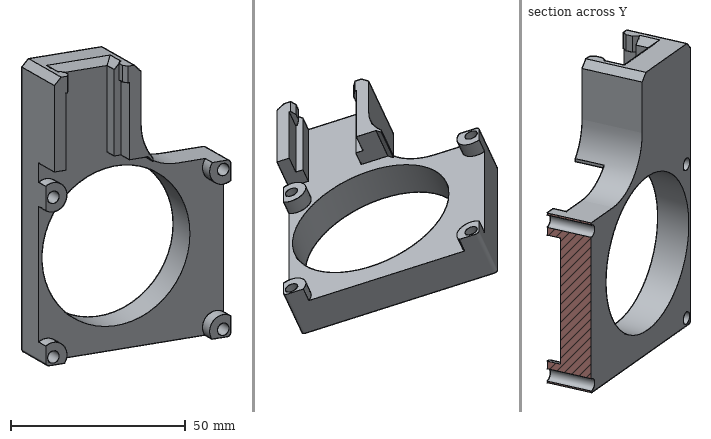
import cadquery as cq

thickness = 19.8
width = 60.0
height = 88.0

plate_thickness = 10.3
plate_height = 53.1
corner_radius = 1.1
boss_top = 14.6
boss_diameter = 8.8
screw_diameter = 3.7
screw_inset = 2.5
screw_spacing_z = 48.0
screw_centres = [
    (y, z)
    for y in (screw_inset, width - screw_inset)
    for z in (screw_inset, screw_inset + screw_spacing_z)
]

opening_diameter = 48.0
opening_y = 25.1
opening_z = 31.2

tower_width = 28.2
tower_chamfer = 2.2
tower_blend_radius = 16.8
tower_underside = 59.8
tip_drop = 1.7
tip_y = 32.0

wall = 3.8
ledge = 2.2
lead_in = 2.2

bead_length = 5.0
bead_foot_height = 0.4
bead_crest_height = 1.5
bead_flank_run = 1.6



def full_outline():
    """Full-thickness body: square plate blended into the tower by a concave arc."""
    profile = (
        cq.Workplane("YZ")
        .lineTo(width, 0)
        .lineTo(width, plate_height)
        .lineTo(tower_width + tower_blend_radius, plate_height)
        .radiusArc((tower_width, plate_height + tower_blend_radius), tower_blend_radius)
        .lineTo(tower_width, height - tower_chamfer)
        .lineTo(tower_width - tower_chamfer, height)
        .lineTo(tower_chamfer, height)
        .lineTo(0, height - tower_chamfer)
        .close()
    )
    body = profile.extrude(thickness)
    for corner in ((0, 0), (width, 0), (width, plate_height)):
        nearest = cq.selectors.NearestToPointSelector((thickness / 2, *corner))
        body = body.edges(nearest).fillet(corner_radius)
    return body


def tower_region():
    """Tower above the plate, with a sloped end on its hanging +Y wall."""
    profile = (
        cq.Workplane("YZ")
        .moveTo(0, tower_underside)
        .lineTo(tip_y - tip_drop, tower_underside)
        .lineTo(tip_y, tower_underside - tip_drop)
        .lineTo(tip_y, height)
        .lineTo(0, height)
        .close()
    )
    return profile.extrude(thickness)


def boss_cylinders():
    """Round screw bosses, to be trimmed by the plate outline."""
    return cq.Workplane("YZ").pushPoints(screw_centres).circle(boss_diameter / 2).extrude(boss_top)


def slot_section(z, growth):
    """Slot rectangle at height z, widened by growth on three sides."""
    near = wall + ledge - growth
    far = tower_width - near
    floor = plate_thickness - growth
    return (
        cq.Workplane("XY", origin=(0, 0, z))
        .moveTo(floor, near)
        .lineTo(thickness, near)
        .lineTo(thickness, far)
        .lineTo(floor, far)
        .close()
    )


def slot():
    """Stepped slot with a funnel at its mouth."""
    narrow = slot_section(0, 0).extrude(height)
    lower_wire = slot_section(height - lead_in, 0).val()
    upper_wire = slot_section(height, lead_in).val()
    mouth = cq.Workplane(cq.Solid.makeLoft([lower_wire, upper_wire], True))
    wide = cq.Workplane("XY").box(
        thickness - boss_top, tower_width - 2 * wall, height, centered=False
    ).translate((boss_top, wall, 0))
    return narrow.union(mouth).union(wide)


def snap_bead():
    """Trapezoidal bead at the top of the -Y tower wall."""
    return (
        cq.Workplane("XY", origin=(0, 0, height - bead_length))
        .moveTo(boss_top, wall)
        .lineTo(boss_top, wall + bead_foot_height)
        .lineTo(boss_top + bead_flank_run, wall + bead_crest_height)
        .lineTo(thickness - bead_flank_run, wall + bead_crest_height)
        .lineTo(thickness, wall + bead_foot_height)
        .lineTo(thickness, wall)
        .close()
        .extrude(bead_length)
    )


full_body = full_outline()
plate_slab = cq.Workplane("XY").box(plate_thickness, width, height, centered=False)
plate = full_body.intersect(plate_slab)
tower = full_body.intersect(tower_region())
bosses = full_body.intersect(boss_cylinders())

bead = snap_bead()
opposite_bead = bead.mirror("XZ").translate((0, tower_width, 0))

slotted_body = plate.union(tower).cut(slot())
result = slotted_body.union(bosses).union(bead).union(opposite_bead)

opening = cq.Workplane("YZ").center(opening_y, opening_z).circle(opening_diameter / 2).extrude(thickness)
screw_holes = (
    cq.Workplane("YZ")
    .pushPoints(screw_centres)
    .circle(screw_diameter / 2)
    .extrude(thickness)
)
result = result.cut(opening).cut(screw_holes)